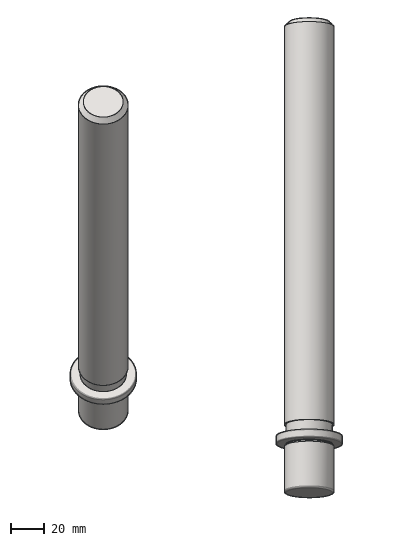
import cadquery as cq

pin_diameter = 30.0
collar_diameter = 40.0
neck_diameter = 28.0

total_length = 290.0
foot_length = 30.0
collar_thickness = 5.0
neck_length = 7.0
groove_width = 0.5

tip_chamfer = 3.0
foot_rounding = 1.0
collar_rounding = 0.5

groove_bottom = foot_length - groove_width
groove_chamfer = (pin_diameter - neck_diameter) / 2
collar_top = foot_length + collar_thickness
shank_bottom = collar_top + neck_length
shank_length = total_length - shank_bottom


def cylinder(diameter, bottom, height):
    """Upright cylinder on the pin axis, starting at the given height."""
    return cq.Workplane("XY").workplane(offset=bottom).circle(diameter / 2).extrude(height)


def make_foot():
    """Short end below the collar: rounded lower rim, upper rim tapering in to the groove."""
    foot = cylinder(pin_diameter, 0, groove_bottom)
    foot = foot.faces("<Z").edges().fillet(foot_rounding)
    return foot.faces(">Z").edges().chamfer(groove_chamfer)


def make_groove_core():
    """Reduced core left by the narrow groove under the collar."""
    return cylinder(neck_diameter, groove_bottom, groove_width)


def make_collar():
    """Stop collar with both rims rounded."""
    collar = cylinder(collar_diameter, foot_length, collar_thickness)
    return collar.faces("<Z or >Z").edges().fillet(collar_rounding)


def make_neck():
    """Relieved neck between the collar and the shank."""
    return cylinder(neck_diameter, collar_top, neck_length)


def make_shank():
    """Long shank, chamfered at its tip."""
    shank = cylinder(pin_diameter, shank_bottom, shank_length)
    return shank.faces(">Z").edges().chamfer(tip_chamfer)


result = (
    make_foot()
    .union(make_groove_core())
    .union(make_collar())
    .union(make_neck())
    .union(make_shank())
)